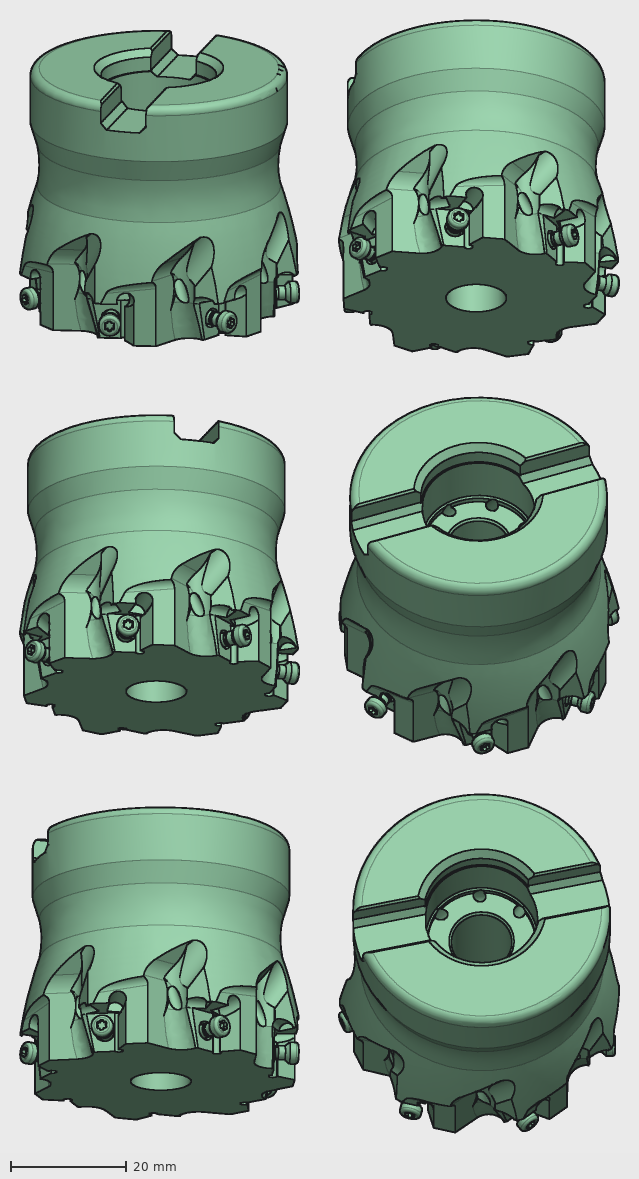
import cadquery as cq
import math

TEETH = 7
HEIGHT = 43.25
FAR = 34.0

COLLAR_RADIUS = 22.3
COLLAR_ROUND = 1.5
COLLAR_BOTTOM = 33.4
WAIST_TOP = 29.55
WAIST_BOTTOM = 21.95
WAIST_EDGE_RADIUS = 21.1
WAIST_RADIUS = 20.75
SKIRT_MID = (23.4, 13.85)
SKIRT_EDGE = (24.6, 7.55)
FOOT_RADIUS = 24.75

MOUTH_RADIUS = 10.0
MOUTH_CHAMFER = 1.2
MOUTH_DEPTH = 3.75
BORE_RADIUS = 9.7
BORE_DEPTH = 12.4
SEAT_RADIUS = 9.3
SEAT_STEP = 0.3
SEAT_DEPTH = 13.6
THROUGH_RADIUS = 5.25
THROUGH_CHAMFER = 0.4
SLOT_WIDTH = 8.15
SLOT_DEPTH = 4.75
SLOT_CORNER = 1.1
SLOT_EDGE = 0.4

LAND_X = -23.0
TIP_Y = -0.85
LAND_END_Y = 11.65
LAND_TOP = 10.55
LAND_SLOPE = 6.7
LAND_ROUND = 1.6

FLUTE_WALL_ANGLE = -39.5
WALL_LENGTH = 3.6
WALL_TOP = 12.15
BEND_RADIUS = 4.85
BEND_ANGLE = 38.0
FLOOR_START = cq.Vector(-20.8, -6.8, 9.35)
FLOOR_TOP = cq.Vector(-20.95, -10.2, 13.75)
FLOOR_EDGE = cq.Vector(-21.75, -11.85, 7.55)

FLUTE_ROUND = ((-2.95, -0.8), (-5.55, 1.45))
FLUTE_ROOF_ANGLE = 67.5

GULLET_TOP = 7.05
GULLET_SAG = 1.0
BEHIND_WALL = 9.7
GULLET_SHIFT = 0.9
GULLET_END_TOP = (-20.65, -7.45)
GULLET_END_BOTTOM = (-18.85, -8.65)

SEAT_X = -18.85
POCKET_Y = 2.95
POCKET_CORNER_Y = 4.75
POCKET_WALL_X = -19.9
POCKET_OPEN_Y = 19.4
POCKET_TOP_INNER = 7.0
POCKET_TOP_OUTER = 7.55
RELIEF_RADIUS = 0.75
RELIEF_X = -19.05
BEVEL_BOTTOM_Y = 9.1
BEVEL_TOP_Y = 10.45
BEVEL_WIDTH = 2.9
BEVEL_DROP = 1.45
CORNER_HOLE_RADIUS = 1.45
CORNER_HOLE_START = cq.Vector(-24.43, 4.1, 8.35)
CORNER_HOLE_END = cq.Vector(-19.2, 5.35, 7.4)
ROOF_RELIEF_START = cq.Vector(-21.1, 8.75, 7.0)
ROOF_RELIEF_END = cq.Vector(-18.95, 13.85, 7.0)

COOLANT_RADIUS = 1.0
COOLANT_OVERRUN = 2.9
COOLANT_ENTRY = cq.Vector(-8.6, 1.45, HEIGHT - SEAT_DEPTH)
COOLANT_EXIT = cq.Vector(-19.9, -5.3, 8.15)

SCREW_Y = 7.2
SCREW_Z = 3.55
SCREW_END_X = -23.25
HEAD_RADIUS = 1.9
HEAD_FACE_RADIUS = 1.35
HEAD_ROUND = 0.6
HEAD_ROUND_LENGTH = 0.55
HEAD_RIM_LENGTH = 1.0
HEAD_CONE_LENGTH = 0.8
SHANK_RADIUS = 1.2
SCREW_LENGTH = 8.75
SINK_RADIUS = 1.65
SINK_DEPTH = 1.45
NECK_START = 3.55
NECK_END = 4.05
NECK_RADIUS = 1.0
SOCKET_LOBES = 6
SOCKET_OUTER = 0.9
SOCKET_INNER = 0.7
SOCKET_DEPTH = 0.8


def at_every_tooth(shape):
    return [shape.rotate(cq.Vector(), cq.Vector(0, 0, 1), 360 / TEETH * i) for i in range(TEETH)]


def cylinder_between(start, end, radius):
    axis = end - start
    return cq.Solid.makeCylinder(radius, axis.Length, start, axis)


def turned_blank():
    return (
        cq.Workplane("XZ")
        .moveTo(0, 0)
        .lineTo(FOOT_RADIUS, 0)
        .lineTo(*SKIRT_EDGE)
        .threePointArc(SKIRT_MID, (WAIST_EDGE_RADIUS, WAIST_BOTTOM))
        .threePointArc((WAIST_RADIUS, (WAIST_TOP + WAIST_BOTTOM) / 2), (WAIST_EDGE_RADIUS, WAIST_TOP))
        .lineTo(COLLAR_RADIUS, COLLAR_BOTTOM)
        .lineTo(COLLAR_RADIUS, HEIGHT - COLLAR_ROUND)
        .radiusArc((COLLAR_RADIUS - COLLAR_ROUND, HEIGHT), -COLLAR_ROUND)
        .lineTo(0, HEIGHT)
        .close()
        .revolve(360, (0, 0), (0, 1))
        .val()
    )


def bore():
    seat = HEIGHT - SEAT_DEPTH
    return (
        cq.Workplane("XZ")
        .polyline(
            [
                (0, 0),
                (THROUGH_RADIUS, 0),
                (THROUGH_RADIUS, seat - THROUGH_CHAMFER),
                (THROUGH_RADIUS + THROUGH_CHAMFER, seat),
                (SEAT_RADIUS, seat),
                (SEAT_RADIUS, HEIGHT - BORE_DEPTH - SEAT_STEP),
                (BORE_RADIUS, HEIGHT - BORE_DEPTH),
                (BORE_RADIUS, HEIGHT - MOUTH_DEPTH),
                (MOUTH_RADIUS, HEIGHT - MOUTH_DEPTH),
                (MOUTH_RADIUS, HEIGHT - MOUTH_CHAMFER),
                (MOUTH_RADIUS + MOUTH_CHAMFER, HEIGHT),
                (0, HEIGHT),
            ]
        )
        .close()
        .revolve(360, (0, 0), (0, 1))
        .val()
    )


def drive_slot():
    half = SLOT_WIDTH / 2
    bottom = HEIGHT - SLOT_DEPTH
    right = [
        (half - SLOT_CORNER, bottom),
        (half, bottom + SLOT_CORNER),
        (half, HEIGHT - SLOT_EDGE),
        (half + SLOT_EDGE, HEIGHT),
    ]
    left = [(-x, z) for x, z in reversed(right)]
    return cq.Workplane("XZ").polyline(right + left).close().extrude(FAR, both=True).val()


def land_cut():
    """Room outside the flat outer face; its rounded top slopes down away from the sharp edge."""
    slope = math.radians(LAND_SLOPE)
    along = cq.Vector(0, math.cos(slope), -math.sin(slope))
    plane = cq.Plane(origin=(LAND_X, TIP_Y, LAND_TOP), xDir=(-1, 0, 0), normal=along)
    return (
        cq.Workplane(plane)
        .moveTo(0, 0)
        .radiusArc((LAND_ROUND, LAND_ROUND), LAND_ROUND)
        .lineTo(FAR, LAND_ROUND)
        .lineTo(FAR, -FAR)
        .lineTo(0, -FAR)
        .close()
        .extrude(LAND_END_Y - TIP_Y)
        .val()
    )


WALL_RUN = cq.Vector(math.cos(math.radians(FLUTE_WALL_ANGLE)), math.sin(math.radians(FLUTE_WALL_ANGLE)), 0)
WALL_OUT = cq.Vector(0, 0, -1).cross(WALL_RUN)
TIP = cq.Vector(LAND_X, TIP_Y, 0)
WALL_END = TIP + WALL_RUN * WALL_LENGTH


def flute_side():
    """All the room in front of the flute wall: upright, then bent over into a slanted roof."""
    bend = math.radians(BEND_ANGLE)

    def bend_point(angle):
        return (BEND_RADIUS * (1 - math.cos(angle)), WALL_TOP + BEND_RADIUS * math.sin(angle))

    bend_end = bend_point(bend)
    roof_end = (bend_end[0] + FAR * math.sin(bend), bend_end[1] + FAR * math.cos(bend))
    plane = cq.Plane(origin=TIP + WALL_RUN * FAR, xDir=WALL_OUT, normal=WALL_RUN * -1)
    return (
        cq.Workplane(plane)
        .lineTo(0, WALL_TOP)
        .threePointArc(bend_point(bend / 2), bend_end)
        .lineTo(*roof_end)
        .lineTo(roof_end[0], 0)
        .close()
        .extrude(2 * FAR)
        .val()
    )


def flute_cut():
    """Slanted flute: a flat floor and a rounded corner that runs up into the roof."""
    climb = (FLOOR_TOP - FLOOR_START).normalized()
    floor_normal = (FLOOR_EDGE - FLOOR_START).cross(climb).normalized()
    along_floor = climb.cross(floor_normal)
    plane = cq.Plane(origin=FLOOR_START + climb * FAR, xDir=along_floor, normal=climb * -1)
    roof_angle = math.radians(FLUTE_ROOF_ANGLE)
    round_mid, round_end = FLUTE_ROUND
    outer_end = (round_end[0] - FAR * math.cos(roof_angle), round_end[1] + FAR * math.sin(roof_angle))
    flute = (
        cq.Workplane(plane)
        .threePointArc(round_mid, round_end)
        .lineTo(*outer_end)
        .lineTo(FAR, outer_end[1])
        .lineTo(FAR, 0)
        .close()
        .extrude(2 * FAR)
    )
    return flute.val().intersect(flute_side())


def gullet_section(start, end, height):
    chord = (end - start).normalized()
    inward = cq.Vector(-chord.y, chord.x, 0)
    outer_start = TIP - WALL_RUN * FAR - WALL_OUT * BEHIND_WALL
    middle = (start + end) * 0.5 + inward * GULLET_SAG
    return (
        cq.Workplane("XY", origin=(0, 0, height))
        .moveTo(start.x, start.y)
        .threePointArc((middle.x, middle.y), (end.x, end.y))
        .lineTo(-FAR, end.y)
        .lineTo(outer_start.x, outer_start.y)
        .close()
    )


def gullet_cuts():
    """Chip gullet below the flute: leaning in its lower part, upright above."""
    top_end = cq.Vector(*GULLET_END_TOP)
    bottom_end = cq.Vector(*GULLET_END_BOTTOM)
    bottom_start = WALL_END + WALL_RUN * GULLET_SHIFT
    bottom_section = gullet_section(bottom_start, bottom_end, 0)
    top_section = gullet_section(WALL_END, top_end, GULLET_TOP)
    lower = cq.Solid.makeLoft([bottom_section.wires().val(), top_section.wires().val()], True)
    upper = top_section.extrude(FAR).val()
    return [lower.intersect(flute_side()), upper.intersect(flute_side())]


def pocket_cut():
    """Insert pocket: flat floor, slanted end wall and a slightly tilted roof."""
    plan = (
        cq.Workplane("XY")
        .polyline(
            [
                (LAND_X, POCKET_Y),
                (POCKET_WALL_X, POCKET_CORNER_Y),
                (SEAT_X, POCKET_CORNER_Y),
                (SEAT_X, POCKET_OPEN_Y),
                (-FAR, POCKET_OPEN_Y),
                (-FAR, POCKET_Y),
            ]
        )
        .close()
        .extrude(FAR)
    )
    rise = (POCKET_TOP_OUTER - POCKET_TOP_INNER) / (SEAT_X - LAND_X)

    def roof_at(x):
        return POCKET_TOP_INNER + rise * (SEAT_X - x)

    side = (
        cq.Workplane("XZ")
        .polyline([(0, 0), (0, roof_at(0)), (-FAR, roof_at(-FAR)), (-FAR, 0)])
        .close()
        .extrude(FAR, both=True)
    )
    return plan.intersect(side).val()


def pocket_relief():
    """Upright groove in the corner between the pocket floor and its end wall."""
    return cq.Solid.makeCylinder(RELIEF_RADIUS, POCKET_TOP_INNER, cq.Vector(RELIEF_X, POCKET_CORNER_Y, 0))


def pocket_bevel():
    """Leaning bevel where the pocket floor meets the gullet behind it."""

    def section(start_y, height):
        end_y = start_y + BEVEL_WIDTH
        return (
            cq.Workplane("XY", origin=(0, 0, height))
            .polyline([(SEAT_X, start_y), (SEAT_X + BEVEL_DROP, end_y), (LAND_X, end_y), (LAND_X, start_y)])
            .close()
            .wires()
            .val()
        )

    return cq.Solid.makeLoft([section(BEVEL_BOTTOM_Y, 0), section(BEVEL_TOP_Y, POCKET_TOP_INNER)], True)


def screw_hole():
    inward = cq.Vector(1, 0, 0)
    floor_point = cq.Vector(SEAT_X, SCREW_Y, SCREW_Z)
    screw_point = cq.Vector(SCREW_END_X, SCREW_Y, SCREW_Z)
    clearance = cq.Solid.makeCylinder(SINK_RADIUS, SINK_DEPTH, floor_point, inward)
    shank = cq.Solid.makeCylinder(SHANK_RADIUS, SCREW_LENGTH, screw_point, inward)
    return [clearance, shank]


def tooth_cuts():
    coolant_overrun = (COOLANT_EXIT - COOLANT_ENTRY).normalized() * COOLANT_OVERRUN
    return [
        land_cut(),
        flute_cut(),
        *gullet_cuts(),
        pocket_cut(),
        pocket_relief(),
        pocket_bevel(),
        cylinder_between(CORNER_HOLE_START, CORNER_HOLE_END, CORNER_HOLE_RADIUS),
        cylinder_between(ROOF_RELIEF_START, ROOF_RELIEF_END, CORNER_HOLE_RADIUS),
        cylinder_between(COOLANT_ENTRY - coolant_overrun, COOLANT_EXIT + coolant_overrun, COOLANT_RADIUS),
        *screw_hole(),
    ]


def cutter_body():
    body = turned_blank().cut(bore(), drive_slot())
    for cut in tooth_cuts():
        body = body.cut(*at_every_tooth(cut))
    return body.clean()


def socket():
    """Six-lobed drive recess."""
    half_lobe = math.pi / SOCKET_LOBES

    def point(radius, turn):
        return (radius * math.cos(turn * half_lobe), radius * math.sin(turn * half_lobe))

    outline = cq.Workplane("YZ", origin=(SCREW_END_X, SCREW_Y, SCREW_Z)).moveTo(*point(SOCKET_INNER, 0))
    for lobe in range(SOCKET_LOBES):
        crest = point(SOCKET_OUTER, 2 * lobe + 1)
        outline = outline.threePointArc(crest, point(SOCKET_INNER, 2 * lobe + 2))
    return outline.close().extrude(SOCKET_DEPTH)


def insert_screw():
    rim = HEAD_ROUND_LENGTH
    cone = rim + HEAD_RIM_LENGTH
    shank = cone + HEAD_CONE_LENGTH
    blank = (
        cq.Workplane("XY", origin=(SCREW_END_X, SCREW_Y, SCREW_Z))
        .lineTo(0, HEAD_FACE_RADIUS)
        .radiusArc((rim, HEAD_RADIUS), HEAD_ROUND)
        .lineTo(cone, HEAD_RADIUS)
        .lineTo(shank, SHANK_RADIUS)
        .lineTo(NECK_START, SHANK_RADIUS)
        .lineTo(NECK_START, NECK_RADIUS)
        .lineTo(NECK_END, NECK_RADIUS)
        .lineTo(NECK_END, SHANK_RADIUS)
        .lineTo(SCREW_LENGTH, SHANK_RADIUS)
        .lineTo(SCREW_LENGTH, 0)
        .close()
        .revolve(360, (0, 0), (1, 0))
    )
    return blank.cut(socket()).val()


body = cutter_body()
screws = at_every_tooth(insert_screw())
result = cq.Compound.makeCompound([*body.Solids(), *screws])